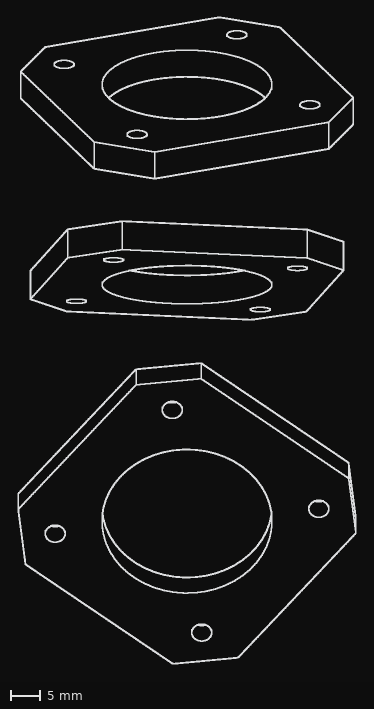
import cadquery as cq

plate_width = 48.02
plate_thickness = 5.0
corner_chamfer = 7.9
bore_diameter = 29.0
screw_hole_diameter = 3.4
screw_hole_spacing = 32.0


def make_plate():
    """Square plate, centred in X and Y, with its four corners cut at 45 degrees."""
    plate = cq.Workplane("XY").rect(plate_width, plate_width).extrude(plate_thickness)
    return plate.edges("|Z").chamfer(corner_chamfer)


def cut_bore(body):
    """Central through bore."""
    return body.faces(">Z").workplane(origin=(0, 0, 0)).hole(bore_diameter)


def cut_screw_holes(body):
    """Four through holes on a square pattern around the bore."""
    pattern = body.faces(">Z").workplane(origin=(0, 0, 0)).rect(
        screw_hole_spacing, screw_hole_spacing, forConstruction=True
    )
    return pattern.vertices().hole(screw_hole_diameter)


result = cut_screw_holes(cut_bore(make_plate()))